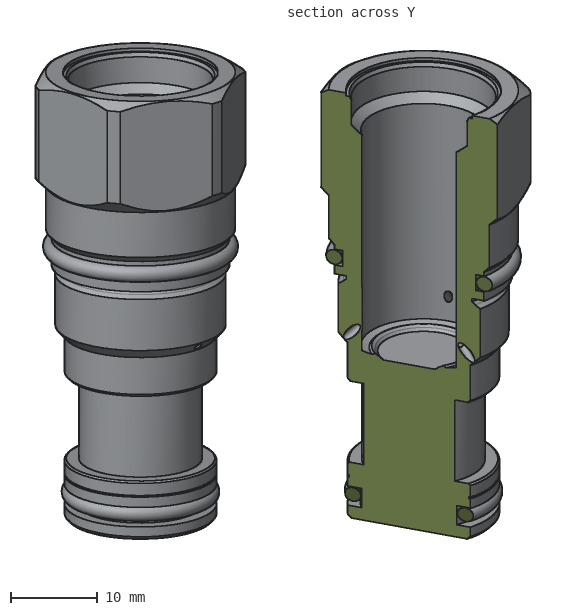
import cadquery as cq
import math

overall_height = 54.0

hex_across_flats = 22.25
hex_corner_radius = 12.4
hex_bottom_z = 40.5
head_chamfer_radial = 1.45
head_top_chamfer_height = 0.85

collar_radius = hex_corner_radius - head_chamfer_radial
collar_edge_chamfer = 0.15
collar_bottom_z = 34.9
land_radius = 10.3
land_top_z = 34.35
land_bottom_z = 30.65
neck_radius = 8.95
neck_bottom_z = 30.35
neck_bevel_radius = 9.3
neck_bevel_z = 30.0

shoulder_radius = 9.9
shoulder_top_z = 29.6
shoulder_bottom_z = 23.4
skirt_radius = 8.8
skirt_top_z = 22.2
skirt_bottom_z = 17.4
skirt_chamfer = 0.3

stem_radius = 7.15
flange_top_z = 7.15
flange_edge_chamfer = 0.2
flange_end_chamfer = 0.45
hairline_top_z = 5.4
hairline_width = 0.15
hairline_depth = 0.15

ring_clearance = 0.025
upper_ring_radius = 11.3
upper_ring_section = 1.9
upper_ring_z = 32.85
lower_ring_radius = 9.1
lower_ring_section = 1.8
lower_ring_z = 3.1
lower_groove_top_z = lower_ring_z + lower_ring_section / 2 + ring_clearance
lower_groove_bottom_z = 1.6

recess_radius = 8.95
recess_depth = 0.4
mouth_radius = 8.6
mouth_chamfer_height = 0.5
entry_radius = 8.35
entry_depth = 4.0
bore_radius = 7.25
bore_cone_depth = 5.0
seat_top_z = 21.6
seat_drop = 0.25
lip_outer_radius = 6.25
lip_radius = 6.0
lip_height = 0.2
pocket_mid_radius = 5.6
pocket_mid_drop = 0.25
pocket_floor_radius = 5.3
pocket_floor_drop = 0.65

vent_count = 3
vent_first_angle = -90.0
vent_diameter = 1.0
vent_length = 4.85


def revolve_profile(points):
    """Closed (radius, z) outline turned a full circle about the Z axis."""
    return cq.Workplane("XZ").polyline(points).close().revolve(360, (0, 0, 0), (0, 1, 0))


def o_ring(outer_radius, section, z):
    """Torus lying flat, centred on the Z axis."""
    section_radius = section / 2
    return (
        cq.Workplane("XZ")
        .center(outer_radius - section_radius, z)
        .circle(section_radius)
        .revolve(360, (section_radius - outer_radius, 0, 0), (section_radius - outer_radius, 1, 0))
    )


def annular_groove(outer_radius, floor_radius, bottom_z, top_z):
    """Cutter for a square groove around the Z axis."""
    return revolve_profile(
        [(floor_radius, bottom_z), (outer_radius, bottom_z), (outer_radius, top_z), (floor_radius, top_z)]
    )


def hex_head():
    """Hexagon with corners on +Y and -Y, turned down and chamfered at both ends."""
    hexagon = (
        cq.Workplane("XY", origin=(0, 0, hex_bottom_z))
        .transformed(rotate=(0, 0, 30))
        .polygon(6, hex_across_flats / math.cos(math.pi / 6))
        .extrude(overall_height - hex_bottom_z)
    )
    envelope = revolve_profile(
        [
            (0, hex_bottom_z),
            (collar_radius, hex_bottom_z),
            (hex_corner_radius, hex_bottom_z + head_chamfer_radial),
            (hex_corner_radius, overall_height - head_top_chamfer_height),
            (collar_radius, overall_height),
            (0, overall_height),
        ]
    )
    return hexagon.intersect(envelope)


def turned_body():
    """Everything below the head, without the O-ring grooves."""
    return revolve_profile(
        [
            (0, 0),
            (skirt_radius - flange_end_chamfer, 0),
            (skirt_radius, flange_end_chamfer),
            (skirt_radius, flange_top_z - flange_edge_chamfer),
            (skirt_radius - flange_edge_chamfer, flange_top_z),
            (stem_radius, flange_top_z),
            (stem_radius, skirt_bottom_z),
            (skirt_radius - skirt_chamfer, skirt_bottom_z),
            (skirt_radius, skirt_bottom_z + skirt_chamfer),
            (skirt_radius, skirt_top_z),
            (shoulder_radius, shoulder_bottom_z),
            (shoulder_radius, shoulder_top_z),
            (neck_bevel_radius, neck_bevel_z),
            (neck_radius, neck_bottom_z),
            (neck_radius, land_bottom_z),
            (land_radius, land_bottom_z),
            (land_radius, land_top_z),
            (collar_radius - collar_edge_chamfer, collar_bottom_z),
            (collar_radius, collar_bottom_z + collar_edge_chamfer),
            (collar_radius, hex_bottom_z),
            (0, hex_bottom_z),
        ]
    )


def stepped_bore():
    """Cutter for the blind bore, with a small raised lip around its floor pocket."""
    seat_inner_z = seat_top_z - seat_drop
    lip_z = seat_inner_z + lip_height
    mouth_z = overall_height - recess_depth
    return revolve_profile(
        [
            (0, overall_height),
            (recess_radius, overall_height),
            (recess_radius, mouth_z),
            (mouth_radius, mouth_z),
            (entry_radius, mouth_z - mouth_chamfer_height),
            (entry_radius, overall_height - entry_depth),
            (bore_radius, overall_height - bore_cone_depth),
            (bore_radius, seat_top_z),
            (lip_outer_radius, seat_inner_z),
            (lip_radius, lip_z),
            (pocket_mid_radius, lip_z - pocket_mid_drop),
            (pocket_floor_radius, lip_z - pocket_floor_drop),
            (0, lip_z - pocket_floor_drop),
        ]
    )


def vent_hole(angle):
    """Cutter square to the conical seat, running inward and upward into the bore."""
    seat_run = shoulder_radius - skirt_radius
    seat_rise = shoulder_bottom_z - skirt_top_z
    mid_radius = (shoulder_radius + skirt_radius) / 2
    mid_z = (shoulder_bottom_z + skirt_top_z) / 2
    inward = cq.Vector(-seat_rise, 0, seat_run).normalized()
    start = cq.Vector(mid_radius, 0, mid_z) - inward * vent_diameter
    drill = cq.Solid.makeCylinder(vent_diameter / 2, vent_length, start, inward)
    return drill.rotate(cq.Vector(0, 0, 0), cq.Vector(0, 0, 1), angle)


housing = hex_head().union(turned_body()).cut(stepped_bore())

upper_groove_half_width = upper_ring_section / 2 + ring_clearance
housing = housing.cut(
    annular_groove(
        upper_ring_radius,
        upper_ring_radius - upper_ring_section - ring_clearance,
        upper_ring_z - upper_groove_half_width,
        upper_ring_z + upper_groove_half_width,
    )
)

housing = housing.cut(
    annular_groove(
        lower_ring_radius,
        lower_ring_radius - lower_ring_section - ring_clearance,
        lower_groove_bottom_z,
        lower_groove_top_z,
    )
)

housing = housing.cut(
    annular_groove(
        lower_ring_radius,
        skirt_radius - hairline_depth,
        hairline_top_z - hairline_width,
        hairline_top_z,
    )
)

for index in range(vent_count):
    housing = housing.cut(cq.Workplane(vent_hole(vent_first_angle + index * 360 / vent_count)))

upper_o_ring = o_ring(upper_ring_radius, upper_ring_section, upper_ring_z)
lower_o_ring = o_ring(lower_ring_radius, lower_ring_section, lower_ring_z)

result = cq.Compound.makeCompound([housing.val(), upper_o_ring.val(), lower_o_ring.val()])